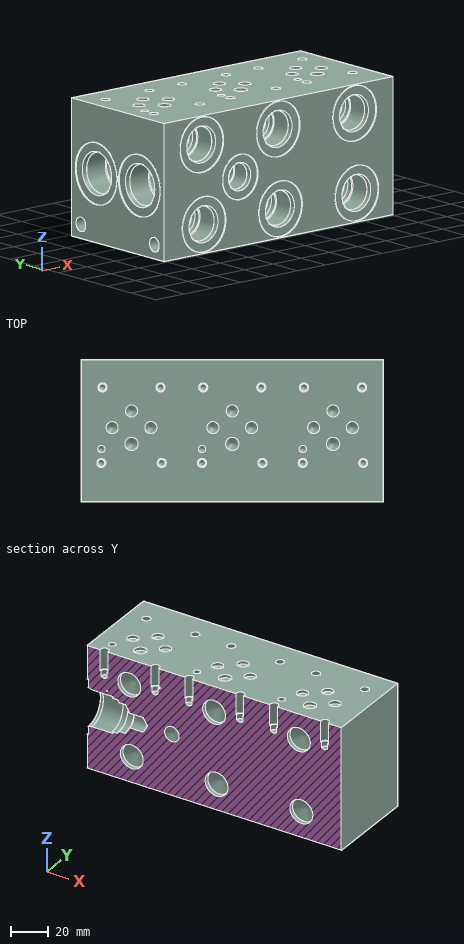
import cadquery as cq
import math


LENGTH = 162.0
WIDTH = 76.3
HEIGHT = 76.3

STATION_COUNT = 3
STATION_PITCH = LENGTH / STATION_COUNT
FIRST_STATION_X = STATION_PITCH / 2

DRILL_POINT_ANGLE = 118.0

REAR_BOLT_ROW_Y = 61.4
REAR_BOLT_OFFSET = 15.5
FRONT_BOLT_OFFSET = 16.2
FRONT_BOLT_ROW_Y = REAR_BOLT_ROW_Y - 40.5
TANK_PASSAGE_Y = REAR_BOLT_ROW_Y - 12.6
WORK_PASSAGE_Y = REAR_BOLT_ROW_Y - 21.5
WORK_PASSAGE_OFFSET = 10.4
PRESSURE_PASSAGE_Y = REAR_BOLT_ROW_Y - 30.3
PIN_HOLE_Y = REAR_BOLT_ROW_Y - 33.0

WORK_PASSAGE_DIAMETER = 6.5
PRESSURE_PASSAGE_DIAMETER = 7.1
PASSAGE_DEPTH = 2.0
PIN_HOLE_DIAMETER = 3.9
PIN_HOLE_DEPTH = 4.9

VALVE_BOLT_HOLE = [(4.9, 13.0), (3.7, 16.2)]
MOUNTING_BOLT_HOLE = [(8.0, 15.0), (6.3, 19.5)]

SPOTFACE_DEPTH = 0.6
SEAT_DEPTH = 2.5
SEAT_LEDGE = 0.08
WORK_PORT = dict(spotface=30.6, mouth=20.4, bores=[(19.1, 14.5), (17.5, 17.8), (14.2, 22.7)])
GAUGE_PORT = dict(spotface=25.0, mouth=15.5, bores=[(14.2, 13.0), (12.8, 16.2), (12.0, 19.5)])
RETURN_PORT = dict(spotface=34.2, mouth=24.1, bores=[(22.5, 16.2), (20.4, 19.5), (17.5, 24.3)])
SUPPLY_PORT = dict(spotface=34.2, mouth=24.1,
                   bores=[(22.5, 16.2), (20.4, 19.5), (17.5, 24.3), (8.7, 35.6)])

B_PORT_OFFSET = -0.2
B_PORT_Z = 60.2
A_PORT_OFFSET = 1.5
A_PORT_Z = 16.0
GAUGE_PORT_X = STATION_PITCH
MID_HEIGHT = HEIGHT / 2
RETURN_PORT_Y = 55.9
SUPPLY_PORT_Y = WIDTH - RETURN_PORT_Y
MOUNTING_BOLT_INSET = 8.0

INTO_TOP = cq.Vector(0, 0, -1)
INTO_FRONT = cq.Vector(0, 1, 0)
INTO_SIDE = cq.Vector(1, 0, 0)


def drill(diameter, depth, entry, direction):
    """Round hole ending in a drill point; the depth excludes the point."""
    radius = diameter / 2
    point_length = radius / math.tan(math.radians(DRILL_POINT_ANGLE / 2))
    barrel = cq.Solid.makeCylinder(radius, depth, entry, direction)
    point = cq.Solid.makeCone(radius, 0, point_length, entry + direction * depth, direction)
    return [barrel, point]


def tapped_hole(entry, direction, sizes):
    """Flat-ended thread bore with a deeper tap drill."""
    (thread_diameter, thread_depth), (drill_diameter, drill_depth) = sizes
    thread = cq.Solid.makeCylinder(thread_diameter / 2, thread_depth, entry, direction)
    return [thread] + drill(drill_diameter, drill_depth, entry, direction)


def port(entry, direction, spotface, mouth, bores):
    """Spotface and tapered seat, then a flat-ended thread bore and stepped drills."""
    thread_diameter, thread_depth = bores[0]
    seat_start = entry + direction * SPOTFACE_DEPTH
    cutters = [
        cq.Solid.makeCylinder(spotface / 2, SPOTFACE_DEPTH, entry, direction),
        cq.Solid.makeCone(mouth / 2, thread_diameter / 2 + SEAT_LEDGE, SEAT_DEPTH, seat_start, direction),
        cq.Solid.makeCylinder(thread_diameter / 2, thread_depth, entry, direction),
    ]
    for diameter, depth in bores[1:]:
        cutters += drill(diameter, depth, entry, direction)
    return cutters


def valve_pattern(x):
    """Bolt holes, locating pin hole and flow passages of one valve on the top face."""
    def top(offset, y):
        return cq.Vector(x + offset, y, HEIGHT)

    cutters = []
    for side in (-1, 1):
        rear_bolt = top(side * REAR_BOLT_OFFSET, REAR_BOLT_ROW_Y)
        front_bolt = top(side * FRONT_BOLT_OFFSET, FRONT_BOLT_ROW_Y)
        work_passage = top(side * WORK_PASSAGE_OFFSET, WORK_PASSAGE_Y)
        cutters += tapped_hole(rear_bolt, INTO_TOP, VALVE_BOLT_HOLE)
        cutters += tapped_hole(front_bolt, INTO_TOP, VALVE_BOLT_HOLE)
        cutters += drill(WORK_PASSAGE_DIAMETER, PASSAGE_DEPTH, work_passage, INTO_TOP)
    cutters += drill(WORK_PASSAGE_DIAMETER, PASSAGE_DEPTH, top(0, TANK_PASSAGE_Y), INTO_TOP)
    cutters += drill(PRESSURE_PASSAGE_DIAMETER, PASSAGE_DEPTH, top(0, PRESSURE_PASSAGE_Y), INTO_TOP)
    cutters += drill(PIN_HOLE_DIAMETER, PIN_HOLE_DEPTH, top(-FRONT_BOLT_OFFSET, PIN_HOLE_Y), INTO_TOP)
    return cutters


def station_work_ports(x):
    """Upper and lower work ports of one station on the -Y side."""
    upper = port(cq.Vector(x + B_PORT_OFFSET, 0, B_PORT_Z), INTO_FRONT, **WORK_PORT)
    lower = port(cq.Vector(x + A_PORT_OFFSET, 0, A_PORT_Z), INTO_FRONT, **WORK_PORT)
    return upper + lower


def end_features():
    """Supply port, return port and two mounting bolt holes on the -X side."""
    cutters = port(cq.Vector(0, SUPPLY_PORT_Y, MID_HEIGHT), INTO_SIDE, **SUPPLY_PORT)
    cutters += port(cq.Vector(0, RETURN_PORT_Y, MID_HEIGHT), INTO_SIDE, **RETURN_PORT)
    for y in (MOUNTING_BOLT_INSET, WIDTH - MOUNTING_BOLT_INSET):
        entry = cq.Vector(0, y, MOUNTING_BOLT_INSET)
        cutters += tapped_hole(entry, INTO_SIDE, MOUNTING_BOLT_HOLE)
    return cutters


cutters = end_features()
cutters += port(cq.Vector(GAUGE_PORT_X, 0, MID_HEIGHT), INTO_FRONT, **GAUGE_PORT)
for station in range(STATION_COUNT):
    station_x = FIRST_STATION_X + station * STATION_PITCH
    cutters += valve_pattern(station_x)
    cutters += station_work_ports(station_x)

block = cq.Solid.makeBox(LENGTH, WIDTH, HEIGHT)
result = cq.Workplane("XY").newObject([block.cut(*cutters)])